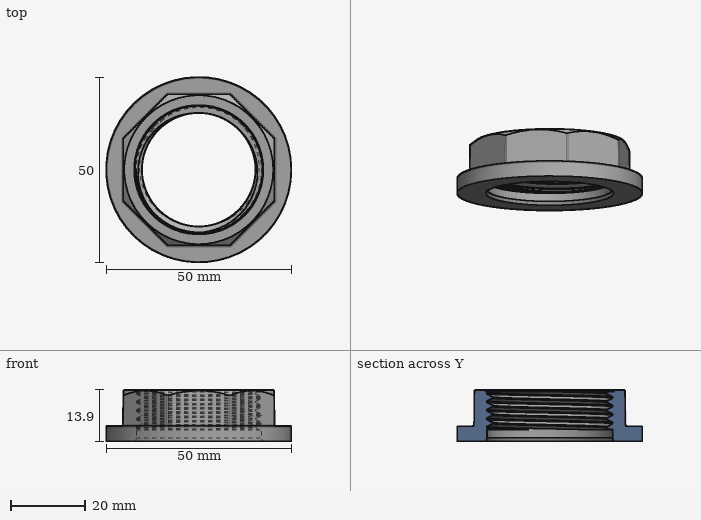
import cadquery as cq
import math

flange_diameter = 49.95
flange_thickness = 4.2
flange_edge_radius = 0.25

overall_height = 13.9
side_count = 8
base_across_flats = 40.95
draft_angle = 1.0
corner_radius = 0.5
base_fillet = 0.25

top_face_diameter = 40.1
bevel_angle = 37.5

root_diameter = 33.7
mouth_diameter = 34.85
mouth_floor_diameter = 34.35
mouth_depth = 0.45

bottom_mouth_diameter = 34.35
bottom_mouth_depth = 1.0

crest_diameter = 30.55
pitch = 2.3
crest_width = 0.325
flank_angle = 27.5
thread_bottom = 3.2
thread_embed = 0.15
top_crest_azimuth = 68.0


def make_flange():
    disc = cq.Workplane("XY").circle(flange_diameter / 2).extrude(flange_thickness)
    return disc.faces(">Z").edges().fillet(flange_edge_radius)


def make_octagon():
    corner_distance = base_across_flats / math.cos(math.pi / side_count)
    blank = (
        cq.Workplane("XY", origin=(0, 0, flange_thickness))
        .transformed(rotate=(0, 0, 180 / side_count))
        .polygon(side_count, corner_distance)
        .extrude(overall_height - flange_thickness, taper=draft_angle)
    )
    blank = blank.edges("not(#Z)").fillet(corner_radius)
    return blank.intersect(make_bevel_envelope())


def make_bevel_envelope():
    """Solid of revolution whose top edge is bevelled down to the flange rim."""
    rim_radius = flange_diameter / 2
    top_radius = top_face_diameter / 2
    bevel_drop = (rim_radius - top_radius) * math.tan(math.radians(bevel_angle))
    outline = [
        (0, 0),
        (rim_radius, 0),
        (rim_radius, overall_height - bevel_drop),
        (top_radius, overall_height),
        (0, overall_height),
    ]
    return cq.Workplane("XZ").polyline(outline).close().revolve(360, (0, 0), (0, 1))


def make_bore():
    """Bore at the thread root, with a conical mouth at each end."""
    root_radius = root_diameter / 2
    mouth_floor = overall_height - mouth_depth
    outline = [
        (0, 0),
        (bottom_mouth_diameter / 2, 0),
        (root_radius, bottom_mouth_depth),
        (root_radius, mouth_floor),
        (mouth_floor_diameter / 2, mouth_floor),
        (mouth_diameter / 2, overall_height),
        (0, overall_height),
    ]
    return cq.Workplane("XZ").polyline(outline).close().revolve(360, (0, 0), (0, 1))


def make_thread():
    """Helical ridge, cut off flat at the mouth floor and at the thread bottom."""
    crest_radius = crest_diameter / 2
    root_radius = root_diameter / 2
    thread_top = overall_height - mouth_depth
    half_crest = crest_width / 2
    buried_radius = root_radius + thread_embed
    half_base = half_crest + (buried_radius - crest_radius) * math.tan(math.radians(flank_angle))
    turns = math.ceil((thread_top - thread_bottom) / pitch) + 2

    profile = [
        (crest_radius, -half_crest),
        (buried_radius, -half_base),
        (buried_radius, half_base),
        (crest_radius, half_crest),
    ]
    helix = cq.Wire.makeHelix(pitch, turns * pitch, root_radius)
    ridge = cq.Workplane("XZ").polyline(profile).close().sweep(cq.Workplane(helix), isFrenet=True)
    ridge = ridge.translate((0, 0, thread_top - (turns - 1) * pitch))
    ridge = ridge.rotate((0, 0, 0), (0, 0, 1), top_crest_azimuth)

    slab = (
        cq.Workplane("XY", origin=(0, 0, thread_bottom))
        .circle(root_radius + 2 * thread_embed)
        .extrude(thread_top - thread_bottom)
    )
    return ridge.intersect(slab)


def fillet_octagon_base(body):
    half_box = base_across_flats / 2 + base_fillet
    half_height = base_fillet / 2
    base_edges = cq.selectors.BoxSelector(
        (-half_box, -half_box, flange_thickness - half_height),
        (half_box, half_box, flange_thickness + half_height),
        boundingbox=True,
    )
    return body.edges(base_edges).fillet(base_fillet)


outer_body = fillet_octagon_base(make_flange().union(make_octagon()))
result = outer_body.cut(make_bore()).union(make_thread())